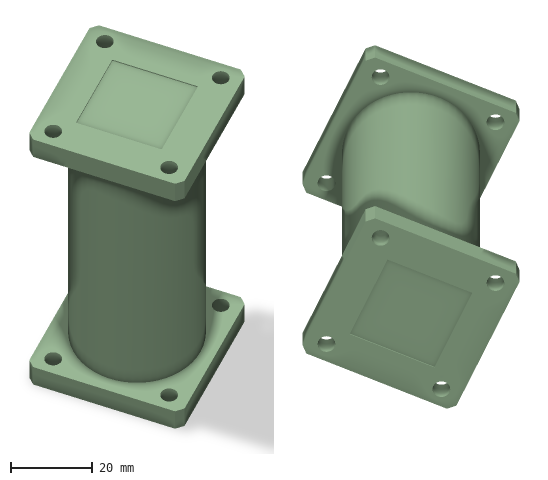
import cadquery as cq

length = 88.9
flange_side = 41.4
flange_thickness = 6.3
corner_chamfer = 1.8
tube_diameter = 33.9

bolt_diameter = 4.4
bolt_spacing_x = 30.9
bolt_spacing_y = 32.5

recess_side = 22.85
recess_depth = 0.4


def make_flange(base_z):
    """Square flange with chamfered corners and four bolt holes."""
    return (
        cq.Workplane("XY")
        .workplane(offset=base_z)
        .rect(flange_side, flange_side)
        .extrude(flange_thickness)
        .edges("|Z")
        .chamfer(corner_chamfer)
        .faces(">Z")
        .workplane()
        .rect(bolt_spacing_x, bolt_spacing_y, forConstruction=True)
        .vertices()
        .hole(bolt_diameter)
    )


def make_recess(base_z):
    """Square block that cuts the recess of one end face."""
    return (
        cq.Workplane("XY")
        .workplane(offset=base_z)
        .rect(recess_side, recess_side)
        .extrude(recess_depth)
    )


tube = (
    cq.Workplane("XY")
    .workplane(offset=flange_thickness)
    .circle(tube_diameter / 2)
    .extrude(length - 2 * flange_thickness)
)

result = tube
for flange_base in (0, length - flange_thickness):
    result = result.union(make_flange(flange_base))
for recess_base in (0, length - recess_depth):
    result = result.cut(make_recess(recess_base))